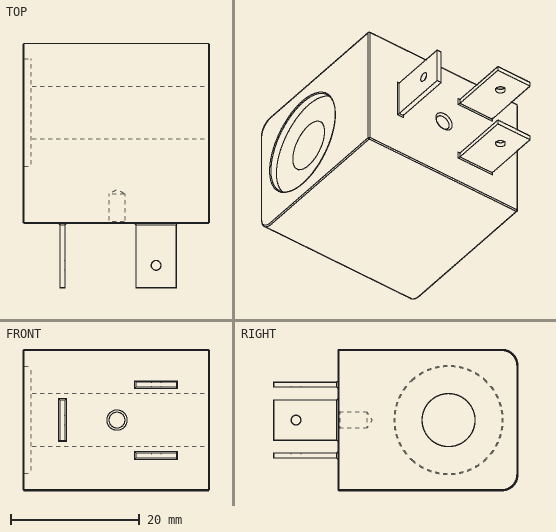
import cadquery as cq

overall_length = 38.0
body_width = 29.0
body_depth = 28.0
body_height = 22.0
back_y = overall_length / 2
face_y = back_y - body_depth
side_x = -body_width / 2
back_edge_radius = 2.5
edge_chamfer = 0.2

bore_diameter = 8.2
bore_y = back_y - 10.8
recess_diameter = 16.7
recess_depth = 1.2
recess_chamfer = 0.15

screw_hole_diameter = 2.47
screw_hole_x = 0.1
screw_hole_depth = 4.55
screw_hole_chamfer = 0.35
drill_tip_height = 0.75

blade_length = overall_length - body_depth
blade_width = 6.27
blade_thickness = 0.8
blade_hole_diameter = 1.5
blade_hole_from_tip = 3.5
skirt_size = 0.2
flat_blade_x = 6.2
flat_blade_z = 5.5
upright_blade_x = -8.35


def make_body():
    body = cq.Workplane("XY").box(body_width, body_depth, body_height)
    body = body.translate((0, back_y - body_depth / 2, 0))
    body = body.edges("|X and >Y").fillet(back_edge_radius)
    return body.faces("<X or >X or <Y").edges().chamfer(edge_chamfer)


def make_bore():
    return (
        cq.Workplane("YZ", origin=(side_x, bore_y, 0))
        .circle(bore_diameter / 2)
        .extrude(body_width)
    )


def make_recess():
    """Revolve the half-section about the bore axis, including its chamfered mouth."""
    radius = recess_diameter / 2
    return (
        cq.Workplane("XY", origin=(side_x, bore_y, 0))
        .lineTo(0, radius + recess_chamfer)
        .lineTo(recess_chamfer, radius)
        .lineTo(recess_depth, radius)
        .lineTo(recess_depth, 0)
        .close()
        .revolve(360, (0, 0), (1, 0))
    )


def make_screw_hole():
    """Revolve the half-section about Y: chamfered mouth, straight wall, conical tip."""
    radius = screw_hole_diameter / 2
    return (
        cq.Workplane("XY", origin=(screw_hole_x, face_y, 0))
        .lineTo(radius + screw_hole_chamfer, 0)
        .lineTo(radius, screw_hole_chamfer)
        .lineTo(radius, screw_hole_depth)
        .lineTo(0, screw_hole_depth + drill_tip_height)
        .close()
        .revolve(360, (0, 0), (0, 1))
    )


def make_blade():
    """Horizontal blade at X = Z = 0, flared where it meets the terminal face."""
    base = cq.Workplane("XZ", origin=(0, face_y, 0))
    blade = base.rect(blade_width, blade_thickness).extrude(blade_length)
    skirt = (
        base.rect(blade_width + 2 * skirt_size, blade_thickness + 2 * skirt_size)
        .workplane(offset=skirt_size)
        .rect(blade_width, blade_thickness)
        .loft(ruled=True)
    )
    hole_y = face_y - blade_length + blade_hole_from_tip
    hole = (
        cq.Workplane("XY", origin=(0, hole_y, -blade_thickness / 2))
        .circle(blade_hole_diameter / 2)
        .extrude(blade_thickness)
    )
    return blade.union(skirt).cut(hole)


result = make_body().cut(make_bore()).cut(make_recess()).cut(make_screw_hole())

flat_blade = make_blade()
for blade_z in (-flat_blade_z, flat_blade_z):
    result = result.union(flat_blade.translate((flat_blade_x, 0, blade_z)))

upright_blade = flat_blade.rotate((0, 0, 0), (0, 1, 0), 90)
result = result.union(upright_blade.translate((upright_blade_x, 0, 0)))